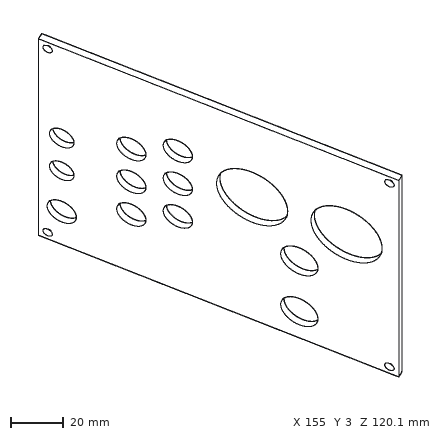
import cadquery as cq

width = 155.0
thickness = 3.0
height = 120.1

mount_diameter = 4.0
mount_inset = 4.0

row_pitch = 20.0
button_diameter = 12.5
inner_column_x = -17.5
outer_column_x = inner_column_x - row_pitch
inner_column_z = 5.0
outer_column_z = inner_column_z - row_pitch / 2

edge_column_x = -67.5
small_diameter = 10.5
small_upper_z = inner_column_z
small_lower_z = small_upper_z - row_pitch
edge_button_z = -40.0

gauge_diameter = 30.5
gauge_pitch = 40.6
gauge_z = 14.5
gauge_middle_x = 34.7
medium_diameter = 16.0
medium_upper_z = -13.0
medium_lower_z = -44.0


def drill(plate, diameter, centers):
    """Cut through holes at the given (x, z) centers."""
    cutters = (
        cq.Workplane("XZ", origin=(0, thickness, 0))
        .pushPoints(centers)
        .circle(diameter / 2)
        .extrude(2 * thickness)
    )
    return plate.cut(cutters)


def column(x, middle_z):
    """Centers of three evenly spaced holes, one above the other."""
    return [(x, middle_z + step * row_pitch) for step in (-1, 0, 1)]


mount_x = width / 2 - mount_inset
mount_z = height / 2 - mount_inset
mount_centers = [(sx * mount_x, sz * mount_z) for sx in (-1, 1) for sz in (-1, 1)]

button_centers = column(inner_column_x, inner_column_z) + column(outer_column_x, outer_column_z)
button_centers.append((edge_column_x, edge_button_z))

small_centers = [(edge_column_x, z) for z in (small_upper_z, small_lower_z)]
gauge_centers = [(gauge_middle_x + side * gauge_pitch / 2, gauge_z) for side in (-1, 1)]
medium_centers = [(gauge_middle_x, z) for z in (medium_upper_z, medium_lower_z)]

result = cq.Workplane("XY").box(width, thickness, height)
result = drill(result, mount_diameter, mount_centers)
result = drill(result, button_diameter, button_centers)
result = drill(result, small_diameter, small_centers)
result = drill(result, gauge_diameter, gauge_centers)
result = drill(result, medium_diameter, medium_centers)